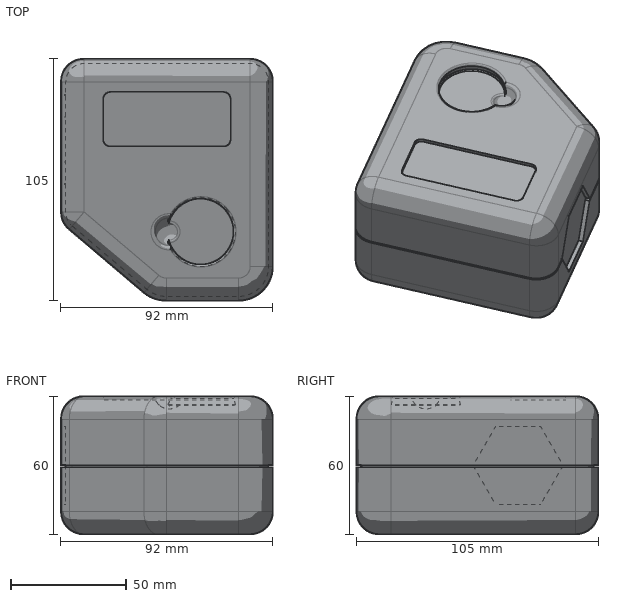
import cadquery as cq
import math

WIDTH = 92.0
LENGTH = 105.0
HEIGHT = 60.0
TOP = HEIGHT / 2

SLANT_X = 40.1
SLANT_Y = 34.0

EDGE_RADIUS = 10.0
FRONT_CORNER_RADIUS = 15.0

RECESS_DEPTH = 2.0
GROOVE_TOP = 0.0
GROOVE_HEIGHT = 0.8
HEX_SIDE = 19.5
HEX_Y = LENGTH - 35.0

LABEL_WIDTH = 55.2
LABEL_LENGTH = 23.6
LABEL_X = WIDTH / 2
LABEL_Y = LENGTH - 26.2
LABEL_CORNER = 3.0
LABEL_DEPTH = 1.5

POCKET_X = 60.6
POCKET_Y = 30.0
POCKET_RADIUS = 14.3
POCKET_DEPTH = 4.0
POCKET_LIP = 1.0
FLARE_WIDTH = 0.7
BEVEL_HEIGHT = 0.4
FLARE_RADIUS = POCKET_RADIUS + FLARE_WIDTH

NOTCH_X = POCKET_X - 13.8
BALL_RADIUS = 6.4
BALL_RISE = 0.9
NOTCH_LIP = 2.0


def upright_block():
    """Full-height block with the plan outline, its two front corners rounded."""
    corners = [(0, LENGTH), (WIDTH, LENGTH), (WIDTH, 0), (SLANT_X, 0), (0, SLANT_Y)]
    block = cq.Workplane("XY").workplane(offset=-TOP).polyline(corners).close().extrude(HEIGHT)
    for x in (SLANT_X, WIDTH):
        corner = cq.selectors.NearestToPointSelector((x, 0, 0))
        block = block.edges(corner).fillet(FRONT_CORNER_RADIUS)
    return block


def tight_corners(block):
    """Upright edges of the two rear corners and of the left end of the slant."""
    edges = []
    for point in ((0, LENGTH, 0), (WIDTH, LENGTH, 0), (0, SLANT_Y, 0)):
        edges += block.edges(cq.selectors.NearestToPointSelector(point)).vals()
    return edges


def housing():
    """Block with every outer edge rounded; equal radii meet as ball corners."""
    block = upright_block()
    rims = block.faces("|Z").edges().vals()
    return block.newObject(tight_corners(block) + rims).fillet(EDGE_RADIUS)


def parting_groove():
    """Flat ring that follows the outline and reaches into the sides by the recess depth."""
    block = upright_block()
    block = block.newObject(tight_corners(block)).fillet(EDGE_RADIUS)
    bottom_outline = block.faces("<Z").wires().toPending()
    core = bottom_outline.offset2D(-RECESS_DEPTH).extrude(HEIGHT, combine=False)
    groove_bottom = GROOVE_TOP - GROOVE_HEIGHT
    slab = (
        cq.Workplane("XY", origin=(WIDTH / 2, LENGTH / 2, groove_bottom))
        .rect(2 * WIDTH, 2 * LENGTH)
        .extrude(GROOVE_HEIGHT)
    )
    return slab.cut(core)


def hexagon_recess():
    """Hexagon with two level sides, sunk into the left face."""
    return (
        cq.Workplane("YZ", origin=(0, HEX_Y, 0))
        .polygon(6, 2 * HEX_SIDE)
        .extrude(RECESS_DEPTH)
    )


def label_recess():
    return (
        cq.Workplane("XY", origin=(LABEL_X, LABEL_Y, TOP - LABEL_DEPTH))
        .rect(LABEL_WIDTH, LABEL_LENGTH)
        .extrude(LABEL_DEPTH)
        .edges("|Z")
        .fillet(LABEL_CORNER)
    )


def round_pocket():
    """Pocket with a rounded lip and an undercut wall that returns to the floor along a bevel."""
    lip_middle = POCKET_LIP * math.sqrt(0.5)
    lip_bottom = TOP - POCKET_LIP
    profile = (
        cq.Workplane("XZ", origin=(POCKET_X, POCKET_Y, 0))
        .moveTo(0, TOP)
        .lineTo(POCKET_RADIUS + POCKET_LIP, TOP)
        .threePointArc(
            (POCKET_RADIUS + POCKET_LIP - lip_middle, lip_bottom + lip_middle),
            (POCKET_RADIUS, lip_bottom),
        )
        .lineTo(FLARE_RADIUS, TOP - POCKET_DEPTH + BEVEL_HEIGHT)
        .lineTo(POCKET_RADIUS, TOP - POCKET_DEPTH)
        .lineTo(0, TOP - POCKET_DEPTH)
        .close()
    )
    return profile.revolve(360, (0, 0), (0, 1))


def notch_lip(level):
    """Flare that rounds the notch ball into a flat face at height `level`."""
    ball_z = TOP + BALL_RISE
    lip_z = level - NOTCH_LIP
    reach = BALL_RADIUS + NOTCH_LIP
    lean = math.acos((ball_z - lip_z) / reach)
    lip_x = reach * math.sin(lean)
    touch_x = BALL_RADIUS * math.sin(lean)
    touch_z = ball_z - BALL_RADIUS * math.cos(lean)
    middle_x = lip_x - NOTCH_LIP * math.sin(lean / 2)
    middle_z = lip_z + NOTCH_LIP * math.cos(lean / 2)
    profile = (
        cq.Workplane("XZ", origin=(NOTCH_X, POCKET_Y, 0))
        .moveTo(0, level)
        .lineTo(lip_x, level)
        .threePointArc((middle_x, middle_z), (touch_x, touch_z))
        .lineTo(0, touch_z)
        .close()
    )
    return profile.revolve(360, (0, 0), (0, 1))


def finger_notch():
    """Ball-shaped notch, rounded into the top face and into the pocket floor."""
    ball = cq.Workplane("XY", origin=(NOTCH_X, POCKET_Y, TOP + BALL_RISE)).sphere(BALL_RADIUS)
    below_pocket = (
        cq.Workplane("XY", origin=(POCKET_X, POCKET_Y, -TOP))
        .circle(POCKET_RADIUS)
        .extrude(HEIGHT)
    )
    floor_lip = notch_lip(TOP - POCKET_DEPTH).intersect(below_pocket)
    return ball.union(notch_lip(TOP)).union(floor_lip)


result = (
    housing()
    .cut(parting_groove())
    .cut(hexagon_recess())
    .cut(label_recess())
    .cut(round_pocket())
    .cut(finger_notch())
)